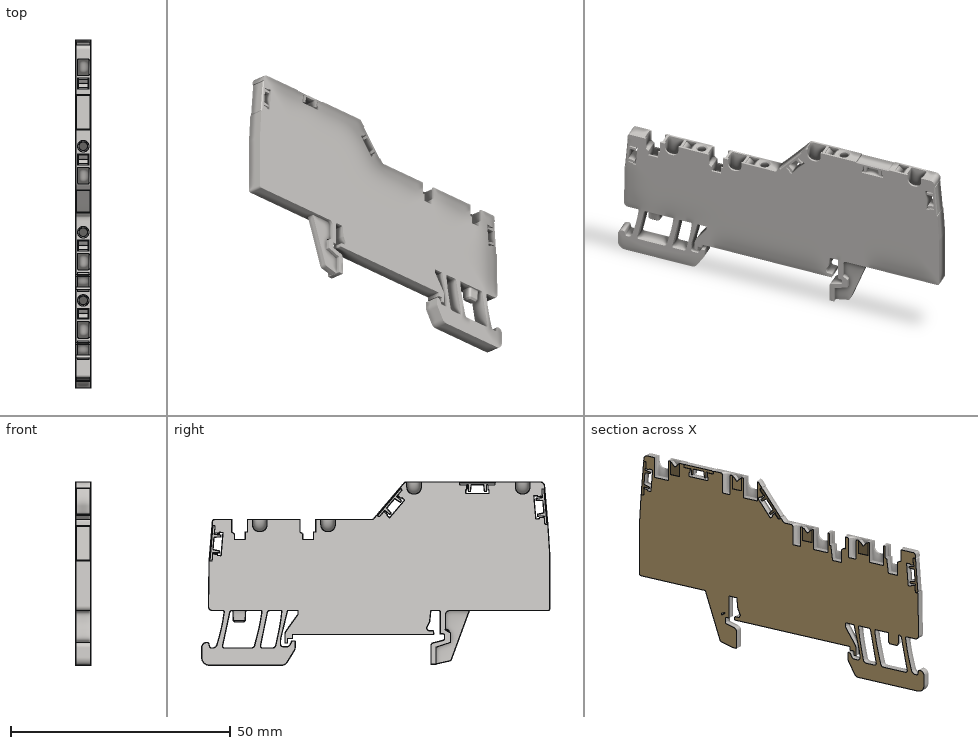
import cadquery as cq
import math


thickness = 3.5
overlap = 0.4

length = 79.45
half_length = length / 2
upper_top = 41.9
lower_top = 33.3
body_bottom = 12.5
plate_bottom = 7.0
foot_bottom = 0.2
rail_floor = 4.0
body_back = -38.2

back_bend = (-38.1, 23.75)
back_top = (-37.3, lower_top)
slope_low = (-0.6, lower_top)
slope_high = (6.7, upper_top)
front_top = (38.45, upper_top)
front_bend = (39.3, 31.7)
front_foot = (half_length, 25.4)

label_length = 8.1
label_thickness = 0.7
label_bevel = 0.2
label_corner = 0.2
clip_outer = 2.15
clip_outer_tip = 2.1
clip_inner = 1.35
clip_inner_tip = 1.6
clip_depth = 2.2
neck_half = 2.4
undercut_half = 2.6
undercut_top = 1.8
window_depth = 2.6

entry_width = 2.6
funnel_length = 3.8
funnel_depth = 4.8
funnel_corner = 0.4
notch_half = 1.7
notch_depth = 2.8
notch_corner = 1.6
pusher_recess_length = 2.5
pusher_recess_depth = 3.2
pusher_width = 2.1
pusher_top_gap = 0.2
pusher_groove_length = 1.9
pusher_groove_depth = 0.95
pusher_to_funnel = 3.7
pusher_to_test_hole = 3.0
test_hole_diameter = 2.0
test_hole_mouth = 2.6
test_hole_depth = 4.8

slot_first_edge = -13.75
slot_pitch = 15.6
slot_count = 2
slot_width = 3.5
slot_shoulder = 2.9
slot_depth = 4.5
slot_step = 0.5
slot_far_step = 0.6
slot_relief = 0.4
slot_middle_depth = 6.35

boss_center = -31.15
boss_length = 3.0
boss_width = 2.6
boss_height = 2.6
boss_corner = 0.55
boss_taper = 2.5
boss_chamfer = 0.4

leg_bend = 39.7
web_recess = 0.95


def rounded_outline(plane, corners):
    """Closed outline through (u, v, radius) corners, each rounded by a tangent arc."""
    sketch = None
    count = len(corners)
    for i, (u, v, radius) in enumerate(corners):
        corner = cq.Vector(u, v)
        before = (cq.Vector(*corners[i - 1][:2]) - corner).normalized()
        after = (cq.Vector(*corners[(i + 1) % count][:2]) - corner).normalized()
        half_angle = before.getAngle(after) / 2
        setback = radius / math.tan(half_angle)
        start = corner + before * setback
        if sketch is None:
            sketch = cq.Workplane(plane).moveTo(start.x, start.y)
        else:
            sketch = sketch.lineTo(start.x, start.y)
        if radius > 0:
            end = corner + after * setback
            inward = (before + after).normalized()
            middle = corner + inward * (radius / math.sin(half_angle) - radius)
            sketch = sketch.threePointArc((middle.x, middle.y), (end.x, end.y))
    return sketch.close()


def side_slab(corners, inset=0.0):
    """Slab with a (Y, Z, radius) outline, as thick as the housing less an inset on each side."""
    plane = cq.Plane(origin=(-thickness / 2 + inset, 0, 0), xDir=(0, 1, 0), normal=(1, 0, 0))
    return rounded_outline(plane, corners).extrude(thickness - 2 * inset)


def top_box(width, size_y, depth, y, top):
    """Box hanging down from height top, centred on X = 0 and y."""
    return cq.Workplane("XY").box(width, size_y, depth).translate((0, y, top - depth / 2))


def body_block():
    return side_slab([
        (half_length, body_bottom, 0.5),
        (*front_foot, 0),
        (*front_bend, 0),
        (*front_top, 1.0),
        (*slope_high, 0.8),
        (*slope_low, 0.4),
        (*back_top, 0.55),
        (*back_bend, 0),
        (body_back, body_bottom, 0.95),
    ])


def rail_plate():
    """Plate below the body, with a small catch at one end and a flexing hook at the other."""
    return side_slab([
        (12.6, body_bottom + overlap, 0),
        (12.3, 9.9, 0),
        (11.6, 8.5, 0.2),
        (11.9, 7.95, 0.2),
        (13.2, 7.95, 0.3),
        (13.3, plate_bottom, 0.2),
        (-19.0, plate_bottom, 0),
        (-19.0, 6.1, 0),
        (-20.1, 6.1, 0),
        (-20.1, 5.1, 0),
        (-20.7, 5.1, 0),
        (-20.7, 7.5, 1.2),
        (-17.8, 11.6, 0),
        (-17.8, body_bottom + overlap, 0),
    ])


def clip_foot():
    """Springy strip that hooks under the rail, stiffened by a thinner web."""
    strip = side_slab([
        (17.5, body_bottom + overlap, 0),
        (17.5, body_bottom, 0),
        (15.9, body_bottom, 0.95),
        (15.9, 8.1, 0.2),
        (17.1, 7.4, 0.2),
        (17.1, 5.25, 0.2),
        (13.75, 4.1, 0.15),
        (13.75, foot_bottom, 0),
        (12.55, foot_bottom, 0),
        (12.55, 5.0, 0.8),
        (15.65, 5.8, 0.2),
        (15.65, 7.15, 0.2),
        (14.7, 7.15, 0),
        (14.7, body_bottom, 0.2),
        (13.9, body_bottom, 0),
        (13.9, body_bottom + overlap, 0),
    ])
    web = side_slab([
        (21.4, body_bottom + overlap, 0),
        (21.4, body_bottom, 0),
        (17.2, 1.0, 0.8),
        (13.5, foot_bottom, 0),
        (13.5, 4.5, 0),
        (16.7, 5.6, 0),
        (16.7, 7.95, 0),
        (15.5, 8.4, 0),
        (15.5, body_bottom + overlap, 0),
    ], web_recess)
    return strip.union(web)


def rail_foot():
    """Bar below the rail, hung from the body on three slanted legs."""
    bar = side_slab([
        (-20.1, body_bottom + overlap, 0),
        (-20.1, body_bottom, 0),
        (-21.7, 6.0, 4.8),
        (-21.7, 4.3, 0.5),
        (-19.8, 4.3, 0.6),
        (-19.15, 5.6, 0.15),
        (-18.35, 5.6, 0.15),
        (-18.35, 3.7, 1.6),
        (-20.65, 0, 1.4),
        (-half_length, 0, 1.75),
        (-half_length, 5.25, 1.2),
        (-38.15, 5.25, 0.4),
        (-37.8, rail_floor, 0.3),
        (-36.5, rail_floor, 1.0),
        (-35.05, 9.0, leg_bend),
        (-34.6, body_bottom, 0.2),
        (-35.2, body_bottom, 0),
        (-35.2, body_bottom + overlap, 0),
    ])
    small_gap = side_slab([
        (-21.45, body_bottom, 0.15),
        (-21.8, 9.5, leg_bend),
        (-23.0, rail_floor, 0.7),
        (-26.4, rail_floor, 0.4),
        (-24.6, body_bottom, 0.5),
    ])
    large_gap = side_slab([
        (-26.0, body_bottom, 0.15),
        (-26.4, 9.5, leg_bend),
        (-27.8, rail_floor, 0.7),
        (-35.05, rail_floor, 0.4),
        (-33.2, body_bottom, 0.5),
    ])
    return bar.cut(small_gap).cut(large_gap)


def boss():
    block = cq.Workplane("XY", origin=(0, boss_center, body_bottom + overlap))
    block = block.rect(boss_width, boss_length).extrude(-boss_height - overlap, taper=boss_taper)
    upright_edges = block.edges("not(|X or |Y)")
    return upright_edges.fillet(boss_corner).faces("<Z").chamfer(boss_chamfer)


label_seats = [
    (back_bend, back_top, 4.1),
    (slope_low, slope_high, 5.4),
    (slope_high, front_top, 16.5),
    (front_top, front_bend, 5.65),
]


def seat_plane(seat):
    """Plane with u along the housing face, v pointing out of it and the normal along +X."""
    start, end, distance = seat
    along = (cq.Vector(0, *end) - cq.Vector(0, *start)).normalized()
    center = cq.Vector(-thickness / 2, *start) + along * distance
    return cq.Plane(origin=center, xDir=along, normal=(1, 0, 0))


def label_plate(plane):
    half = label_length / 2
    return rounded_outline(plane, [
        (-half, 0, 0),
        (-half, -label_thickness, label_corner),
        (half, -label_thickness, label_corner),
        (half, 0, 0),
    ]).extrude(thickness)


def make_label(seat):
    plane = seat_plane(seat)
    outward = plane.yDir
    label = label_plate(plane).faces(cq.selectors.DirectionMinMaxSelector(outward)).chamfer(label_bevel)
    for side in (-1, 1):
        leg = cq.Workplane(plane).polyline([
            (side * clip_inner, -label_thickness / 2),
            (side * clip_outer, -label_thickness / 2),
            (side * clip_outer_tip, -clip_depth),
            (side * clip_inner_tip, -clip_depth),
        ]).close().extrude(thickness)
        label = label.union(leg)
    return label


def label_recess(seat):
    """Seat for the label plate and the undercut window for its clip legs."""
    plane = seat_plane(seat)
    window = cq.Workplane(plane).polyline([
        (-neck_half, -label_thickness / 2),
        (-neck_half, -undercut_top),
        (-undercut_half, -undercut_top),
        (-undercut_half, -window_depth),
        (undercut_half, -window_depth),
        (undercut_half, -undercut_top),
        (neck_half, -undercut_top),
        (neck_half, -label_thickness / 2),
    ]).close().extrude(thickness)
    return label_plate(plane).union(window)


clamp_groups = [
    (29.8, upper_top, 1, False),
    (12.5, upper_top, -1, True),
    (-7.15, lower_top, -1, True),
    (-22.7, lower_top, -1, True),
]


def clamp_openings(pusher_y, top, funnel_side, has_test_hole):
    """Pusher recess, wire funnel with its notched side wall, and test hole."""
    openings = top_box(entry_width, pusher_recess_length, pusher_recess_depth, pusher_y, top)

    funnel_y = pusher_y + funnel_side * pusher_to_funnel
    far_end = ">Y" if funnel_side > 0 else "<Y"
    funnel = top_box(entry_width, funnel_length, funnel_depth, funnel_y, top)
    openings = openings.union(funnel.faces(far_end).edges("|Z").fillet(funnel_corner))

    notch = top_box(thickness, 2 * notch_half, notch_depth, funnel_y, top)
    notch = notch.faces("<Z").edges("|X").fillet(notch_corner)
    openings = openings.union(notch.translate((thickness / 2, 0, 0)))

    if has_test_hole:
        hole_y = pusher_y - funnel_side * pusher_to_test_hole
        bevel = (test_hole_mouth - test_hole_diameter) / 2
        rim = cq.Workplane("XY", origin=(0, hole_y, top))
        hole = rim.circle(test_hole_diameter / 2).extrude(-test_hole_depth)
        mouth = rim.circle(test_hole_mouth / 2).extrude(-bevel, taper=45)
        openings = openings.union(hole).union(mouth)
    return openings


def make_pusher(pusher_y, top):
    """Pusher standing on the floor of its recess, with a V groove across its top."""
    pusher_top = top - pusher_top_gap
    body = top_box(
        pusher_width, pusher_recess_length, pusher_recess_depth - pusher_top_gap, pusher_y, pusher_top
    )
    groove = cq.Workplane("YZ", origin=(-pusher_width / 2, 0, 0)).polyline([
        (pusher_y - pusher_groove_length / 2, pusher_top),
        (pusher_y + pusher_groove_length / 2, pusher_top),
        (pusher_y, pusher_top - pusher_groove_depth),
    ]).close().extrude(pusher_width)
    return body.cut(groove)


def jumper_slot(edge):
    """Stepped slot through the full thickness, longer and deeper in its middle."""
    far_edge = edge - slot_width
    low_near = edge - slot_step
    low_far = far_edge + slot_far_step
    shoulder = lower_top - slot_shoulder
    through = side_slab([
        (edge, lower_top, 0),
        (edge, shoulder, 0),
        (low_near, shoulder, 0),
        (low_near, lower_top - slot_depth, 0),
        (low_far, lower_top - slot_depth, 0),
        (low_far, shoulder - slot_step, 0),
        (far_edge, shoulder, 0),
        (far_edge, lower_top, 0),
    ])
    middle = side_slab([
        (edge + slot_relief, lower_top, 0),
        (edge + slot_relief, shoulder, 0),
        (edge, shoulder, 0),
        (low_near, lower_top - slot_middle_depth, 0),
        (low_far, lower_top - slot_middle_depth, 0),
        (low_far, shoulder - slot_step, 0),
        (far_edge, shoulder, 0),
        (far_edge - slot_relief, shoulder, 0),
        (far_edge - slot_relief, lower_top, 0),
    ], (thickness - entry_width) / 2)
    return through.union(middle)


def make_housing():
    housing = body_block()
    for part in (rail_plate(), clip_foot(), rail_foot(), boss()):
        housing = housing.union(part)
    for seat in label_seats:
        housing = housing.cut(label_recess(seat))
    for group in clamp_groups:
        housing = housing.cut(clamp_openings(*group))
    for i in range(slot_count):
        housing = housing.cut(jumper_slot(slot_first_edge - i * slot_pitch))
    return housing


housing = make_housing()
labels = [make_label(seat) for seat in label_seats]
pushers = [make_pusher(pusher_y, top) for pusher_y, top, _, _ in clamp_groups]

bodies = [housing, *labels, *pushers]

result = cq.Compound.makeCompound([solid for body in bodies for solid in body.solids().vals()])